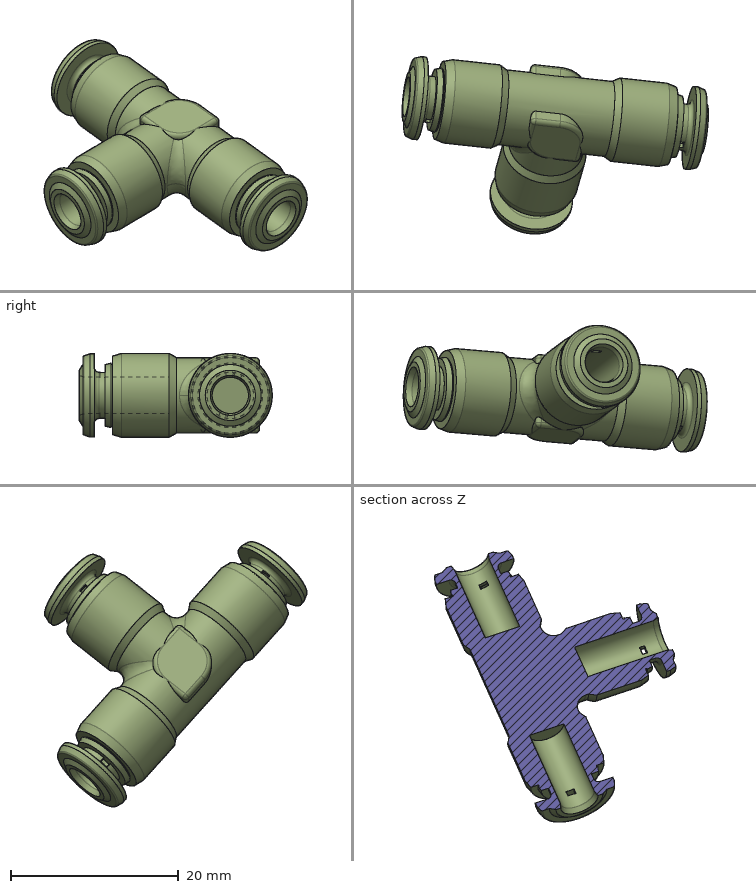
import cadquery as cq
import math

arm_length = 18.0

body_radius = 4.5
housing_radius = 5.0
housing_end_radius = 4.68
body_end = 6.4
housing_start = 7.27
housing_taper_start = 12.95
housing_end = 14.05
crotch_radius = 1.55

groove_radius = 3.7
groove_width = 0.15
collar_radius = 3.85
collar_end_radius = 3.67
collar_end = 14.9

neck_radius = 2.77
neck_fillet = 0.58
flange_radius = 4.95
flange_end_radius = 4.68
flange_back = 16.2
flange_taper_start = 16.7
flange_face = 17.55
flange_rim_fillet = 0.2
nose_base_radius = 3.67
nose_radius = 3.0

bore_radius = 2.15
bore_mouth_radius = 2.38
bore_mouth_depth = 0.72

slot_width = 1.0
slot_end = 15.5
turned_sleeve_angle = 19.0

pad_radius = 3.5
pad_fillet = 0.55


def make_tee_body():
    """Plain tee with filleted crotches between the run and the branch."""
    run = cq.Workplane("YZ").circle(body_radius).extrude(body_end, both=True)
    branch = cq.Workplane("XZ").circle(body_radius).extrude(body_end)
    return run.union(branch).edges("%ELLIPSE").fillet(crotch_radius)


def make_pads():
    """Round bar with two opposite square corners; its rounded ends form both pads."""
    arc_mid = pad_radius * math.sqrt(0.5)
    return (
        cq.Workplane("XY")
        .moveTo(0, pad_radius)
        .lineTo(pad_radius, pad_radius)
        .lineTo(pad_radius, 0)
        .threePointArc((arc_mid, -arc_mid), (0, -pad_radius))
        .lineTo(-pad_radius, -pad_radius)
        .lineTo(-pad_radius, 0)
        .threePointArc((-arc_mid, arc_mid), (0, pad_radius))
        .close()
        .extrude(body_radius, both=True)
        .edges(">(1,1,0) or <(1,1,0)")
        .fillet(pad_fillet)
        .faces("|Z")
        .edges()
        .fillet(pad_fillet)
    )


def revolve_about_x(profile):
    """Solid of revolution from (distance along X, radius) points."""
    return cq.Workplane("XY").polyline(profile).close().revolve(360, (0, 0, 0), (1, 0, 0))


def make_housing():
    """Housing sleeve and its collar along +X."""
    return revolve_about_x([
        (body_end, 0),
        (body_end, body_radius),
        (housing_start, housing_radius),
        (housing_taper_start, housing_radius),
        (housing_end, housing_end_radius),
        (housing_end, groove_radius),
        (housing_end + groove_width, groove_radius),
        (housing_end + groove_width, collar_radius),
        (collar_end, collar_end_radius),
        (collar_end, 0),
    ])


def make_release_sleeve():
    """Neck, flange and nose along +X, with a pair of opposite slots cut across the neck."""
    neck = (
        cq.Workplane("XY")
        .moveTo(collar_end, 0)
        .lineTo(collar_end, neck_radius)
        .lineTo(flange_back - neck_fillet, neck_radius)
        .radiusArc((flange_back, neck_radius + neck_fillet), -neck_fillet)
        .lineTo(flange_back, 0)
        .close()
        .revolve(360, (0, 0, 0), (1, 0, 0))
    )
    flange = revolve_about_x([
        (flange_back, 0),
        (flange_back, flange_radius),
        (flange_taper_start, flange_radius),
        (flange_face, flange_end_radius),
        (flange_face, 0),
    ]).faces(">X").edges().fillet(flange_rim_fillet)
    nose = revolve_about_x([
        (flange_face, 0),
        (flange_face, nose_base_radius),
        (arm_length, nose_radius),
        (arm_length, 0),
    ])
    slot_length = slot_end - collar_end
    slot = (
        cq.Workplane("XY")
        .box(slot_length, slot_width, 2 * flange_radius, centered=(False, True, True))
        .translate((collar_end, 0, 0))
    )
    return neck.union(flange).union(nose).cut(slot)


def make_bore():
    """Blind tube bore along +X with a tapered mouth."""
    return revolve_about_x([
        (housing_start, 0),
        (housing_start, bore_radius),
        (arm_length - bore_mouth_depth, bore_radius),
        (arm_length, bore_mouth_radius),
        (arm_length, 0),
    ])


def make_arm(sleeve_angle):
    """Complete arm along +X, with its release sleeve turned about the arm axis."""
    sleeve = make_release_sleeve().rotate((0, 0, 0), (1, 0, 0), sleeve_angle)
    return make_housing().union(sleeve).cut(make_bore())


arms = [
    (0, -turned_sleeve_angle),
    (180, 0),
    (-90, 0),
]

result = make_tee_body().union(make_pads())
for direction, sleeve_angle in arms:
    arm = make_arm(sleeve_angle).rotate((0, 0, 0), (0, 0, 1), direction)
    result = result.union(arm)